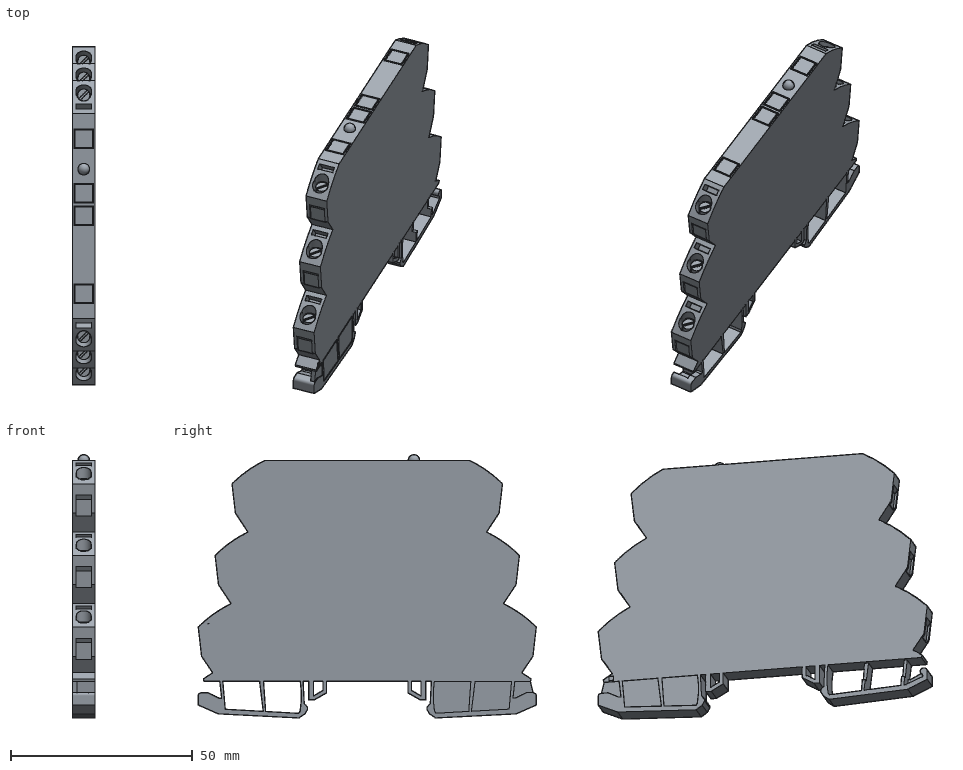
import cadquery as cq
import math

WIDTH = 6.2
LENGTH = 93.06
HEIGHT = 72.49
HALF_WIDTH = WIDTH / 2
HALF_LENGTH = LENGTH / 2

LAMP_RADIUS = 1.6
LAMP_Y = 12.85

HOUSING_HEIGHT = 60.8
FOOT_DEPTH = HEIGHT - HOUSING_HEIGHT - LAMP_RADIUS

TIER_COUNT = 3
TIER_PITCH = 19.7
TIER_STEP = 4.65
TOP_HALF_LENGTH = 28.2
TIER_REACH = HALF_LENGTH - TIER_STEP * (TIER_COUNT - 1) - TOP_HALF_LENGTH
SLOPE_DROP = 6.45
SLOPE_BULGE = 0.45
FACE_DROP = 14.5
FACE_SETBACK = 0.93
SLOPE_ANGLE = math.degrees(math.atan2(SLOPE_DROP, TIER_REACH))

EAR_ROOT = (42.55, 2.4)
EAR_TIP = (45.1, 0.7)
EAR_BASE = (44.9, 0)
EAR_POCKET_Y = 42.85
EAR_POCKET_Z = 1.05
EAR_POCKET_SIZE = 1.25
EAR_POCKET_DEPTH = 0.3

OPENING_WIDTH = 4.4
LABEL_SLOT_OFFSET = 2.17
LABEL_SLOT_LENGTH = 1.55
LABEL_SLOT_DEPTH = 3.2
ACCESS_TILT = 25
ACCESS_OFFSET = 6.05
ACCESS_DROP = 3.9
ACCESS_DEPTH = 4.5
SCREW_TILT = 8
SCREW_OFFSET = 5.0
SCREW_DROP = 5.3
SCREW_LENGTH = 8
SCREW_HEAD_DIAMETER = 3.4
SCREW_CLEARANCE = 0.3
SCREW_SLOT_WIDTH = 0.6
SCREW_SLOT_DEPTH = 0.4
SCREW_SLOT_ANGLE = -45
WIRE_WINDOW_TOP = 9.55
WIRE_WINDOW_BOTTOM = 15.3
WIRE_WINDOW_BEVEL = 1.15
WIRE_WINDOW_DEPTH = 0.6

BUTTON_CENTRES = (21.25, 6.2, 0.05, -21.45)
BUTTON_FRAME_LENGTH = 5.4
BUTTON_FRAME_WIDTH = 5.3
BUTTON_GROOVE = 0.3
BUTTON_GROOVE_DEPTH = 0.5

CLIP_INNER_Y = 11.15
CLIP_OUTER_Y = 16.1
CLIP_SHOULDER_Z = -3.15
CLIP_TOE_Y = 14.5
CLIP_BOTTOM_Z = -5.05
CLIP_INNER_WALL = 1.05
CLIP_OUTER_WALL = 1.35
CLIP_INNER_FLOOR_Z = -2.45
CLIP_OUTER_FLOOR_Z = -3.95

ARM_INNER_Y = 17.6
ARM_OUTER_Y = 18.45
SOLE_END = (41.0, -8.95)
HOOK_TOP_Z = -3.1
HOOK_ROUND = 0.9
MIDDLE_RIB_TOP = (28.5, 29.65)
MIDDLE_RIB_BOTTOM = (27.9, 28.6)
MIDDLE_RIB_FOOT_Z = -8.6
OUTER_RIB_TOP = (39.7, 40.6)
OUTER_RIB_BOTTOM = (39.0, 40.0)
OUTER_RIB_FOOT_Z = -8.0
RIB_WAIST = (40.1, -4.5)
RIB_NOTCH_RANGE = (27, 42)
RIB_NOTCH_WIDTH = 1.2
RIB_NOTCH_DEPTH = 5.1
HOOK_WEB = [(40.0, -8), (40.0, -4.6), (40.75, -4.6), (43.75, HOOK_TOP_Z), (45.6, HOOK_TOP_Z), (45.6, -6.2)]
HOOK_WEB_WIDTH = 1.8
PANEL = [(17.9, 0), (17.9, -9), (20.7, -9.4), (41, -8.3), (45.7, -3.3), EAR_BASE]
PANEL_RECESS = 0.2
PANEL_WIDTH = 1.2

CLEARANCE = 5


def prism(points, x_start, x_end):
    """Closed (y, z) outline extruded from x_start to x_end."""
    plane = cq.Workplane("YZ", origin=(x_start, 0, 0))
    return plane.polyline(points).close().extrude(x_end - x_start)


def tier_start(tier):
    """Distance from the middle and height at which a tier's slope begins."""
    return TOP_HALF_LENGTH + tier * TIER_STEP, HOUSING_HEIGHT - tier * TIER_PITCH


def tier_face(tier):
    """Top and bottom corner of a tier's steep end face."""
    start_y, start_z = tier_start(tier)
    top = (start_y + TIER_REACH, start_z - SLOPE_DROP)
    bottom = (start_y + TIER_REACH - FACE_SETBACK, start_z - FACE_DROP)
    return top, bottom


def slope_middle(tier):
    """Middle point of a tier's slightly bulging slope."""
    start_y, start_z = tier_start(tier)
    tilt = math.radians(SLOPE_ANGLE)
    return (
        start_y + TIER_REACH / 2 + SLOPE_BULGE * math.sin(tilt),
        start_z - SLOPE_DROP / 2 + SLOPE_BULGE * math.cos(tilt),
    )


def make_half_housing():
    outline = cq.Workplane("YZ", origin=(-HALF_WIDTH, 0, 0)).moveTo(0, HOUSING_HEIGHT)
    for tier in range(TIER_COUNT):
        top, bottom = tier_face(tier)
        outline = outline.lineTo(*tier_start(tier)).threePointArc(slope_middle(tier), top).lineTo(*bottom)
    outline = outline.lineTo(*EAR_ROOT).lineTo(*EAR_TIP).lineTo(*EAR_BASE).lineTo(0, 0).close()
    return outline.extrude(WIDTH)


def make_label_slot(tier):
    """Slot square to the slope, near its upper edge."""
    start_y, start_z = tier_start(tier)
    slot = cq.Workplane("XY").box(OPENING_WIDTH, LABEL_SLOT_LENGTH, 2 * LABEL_SLOT_DEPTH)
    slot = slot.translate((0, LABEL_SLOT_OFFSET, 0))
    slot = slot.rotate((0, 0, 0), (1, 0, 0), -SLOPE_ANGLE)
    return slot.translate((0, start_y, start_z))


def tilt_outward(shape, angle, tier, offset, drop):
    """Tip a shape outward about the origin and move it to its place on a tier."""
    start_y, start_z = tier_start(tier)
    return shape.rotate((0, 0, 0), (1, 0, 0), -angle).translate((0, start_y + offset, start_z - drop))


def make_screw_opening(tier):
    """Tilted access hole around a steeper slotted screw that stands inside it."""
    access = cq.Workplane("XY", origin=(0, 0, -ACCESS_DEPTH)).circle(OPENING_WIDTH / 2)
    access = access.extrude(ACCESS_DEPTH + CLEARANCE)
    bore = cq.Workplane("XY").circle(SCREW_HEAD_DIAMETER / 2 + SCREW_CLEARANCE).extrude(CLEARANCE)
    screw = cq.Workplane("XY").circle(SCREW_HEAD_DIAMETER / 2).extrude(-SCREW_LENGTH)
    drive_slot = cq.Workplane("XY").box(SCREW_SLOT_WIDTH, SCREW_HEAD_DIAMETER * 2, 2 * SCREW_SLOT_DEPTH)
    drive_slot = drive_slot.rotate((0, 0, 0), (0, 0, 1), SCREW_SLOT_ANGLE)
    access = tilt_outward(access, ACCESS_TILT, tier, ACCESS_OFFSET, ACCESS_DROP)
    screw = tilt_outward(screw.cut(drive_slot), SCREW_TILT, tier, SCREW_OFFSET, SCREW_DROP)
    bore = tilt_outward(bore, SCREW_TILT, tier, SCREW_OFFSET, SCREW_DROP)
    return access.union(bore).cut(screw)


def make_wire_window(tier):
    """Shallow wire entry pocket in the steep face, bevelled along its upper edge."""
    top, bottom = tier_face(tier)
    start_z = tier_start(tier)[1]

    def face_y(z):
        return top[0] - FACE_SETBACK * (top[1] - z) / (top[1] - bottom[1])

    upper_z = start_z - WIRE_WINDOW_TOP
    floor_z = upper_z - WIRE_WINDOW_BEVEL
    lower_z = start_z - WIRE_WINDOW_BOTTOM
    outline = [
        (face_y(upper_z), upper_z),
        (face_y(floor_z) - WIRE_WINDOW_DEPTH, floor_z),
        (face_y(lower_z) - WIRE_WINDOW_DEPTH, lower_z),
        (face_y(lower_z) + CLEARANCE, lower_z),
        (face_y(upper_z) + CLEARANCE, upper_z),
    ]
    return prism(outline, -OPENING_WIDTH / 2, OPENING_WIDTH / 2)


def make_button_groove(y):
    frame = cq.Workplane("XY").box(BUTTON_FRAME_WIDTH, BUTTON_FRAME_LENGTH, 2 * BUTTON_GROOVE_DEPTH)
    button = cq.Workplane("XY").box(
        BUTTON_FRAME_WIDTH - 2 * BUTTON_GROOVE,
        BUTTON_FRAME_LENGTH - 2 * BUTTON_GROOVE,
        2 * BUTTON_GROOVE_DEPTH,
    )
    return frame.cut(button).translate((0, y, HOUSING_HEIGHT))


def make_rail_clip():
    """Hollow hook that grips the edge of the mounting rail."""
    outer = [
        (CLIP_INNER_Y, 0),
        (CLIP_INNER_Y, CLIP_SHOULDER_Z),
        (CLIP_TOE_Y, CLIP_BOTTOM_Z),
        (CLIP_OUTER_Y, CLIP_BOTTOM_Z),
        (CLIP_OUTER_Y, 0),
    ]
    inner = [
        (CLIP_INNER_Y + CLIP_INNER_WALL, 0),
        (CLIP_INNER_Y + CLIP_INNER_WALL, CLIP_INNER_FLOOR_Z),
        (CLIP_OUTER_Y - CLIP_OUTER_WALL, CLIP_OUTER_FLOOR_Z),
        (CLIP_OUTER_Y - CLIP_OUTER_WALL, 0),
    ]
    return prism(outer, -HALF_WIDTH, HALF_WIDTH).cut(prism(inner, -HALF_WIDTH, HALF_WIDTH))


def make_foot_frame():
    """Inner arm with its barbed heel, sloping sole and upturned hook of a foot."""
    outline = cq.Workplane("YZ", origin=(-HALF_WIDTH, 0, 0)).polyline([
        (ARM_INNER_Y, 0),
        (17.3, -6.1),
        (16.4, -7.1),
        (16.4, -7.7),
        (17.1, -8.9),
        (18.8, -FOOT_DEPTH),
        SOLE_END,
        (HALF_LENGTH, -6.5),
        (HALF_LENGTH, HOOK_TOP_Z - HOOK_ROUND),
    ])
    round_sag = HOOK_ROUND * (1 - math.sqrt(0.5))
    round_middle = (HALF_LENGTH - round_sag, HOOK_TOP_Z - round_sag)
    outline = outline.threePointArc(round_middle, (HALF_LENGTH - HOOK_ROUND, HOOK_TOP_Z))
    outline = outline.lineTo(45.3, HOOK_TOP_Z)
    outline = outline.threePointArc((44.55, -3.85), (44.9, -4.7))
    outline = outline.threePointArc((45.2, -5.2), (45.1, -5.65))
    outline = outline.lineTo(40.4, -7.55).lineTo(18.85, -8.75).lineTo(18.5, -8.2)
    outline = outline.threePointArc((18.15, -4.3), (ARM_OUTER_Y, 0)).close()
    return outline.extrude(WIDTH)


def make_foot_ribs():
    """Two slanted ribs that tie the sole of a foot to the housing."""
    middle = [
        (MIDDLE_RIB_TOP[0], 0),
        (MIDDLE_RIB_BOTTOM[0], MIDDLE_RIB_FOOT_Z),
        (MIDDLE_RIB_BOTTOM[1], MIDDLE_RIB_FOOT_Z),
        (MIDDLE_RIB_TOP[1], 0),
    ]
    outer = [
        (OUTER_RIB_TOP[0], 0),
        (OUTER_RIB_BOTTOM[0], OUTER_RIB_FOOT_Z),
        (OUTER_RIB_BOTTOM[1], OUTER_RIB_FOOT_Z),
        RIB_WAIST,
        (OUTER_RIB_TOP[1], 0),
    ]
    return prism(middle, -HALF_WIDTH, HALF_WIDTH).union(prism(outer, -HALF_WIDTH, HALF_WIDTH))


def make_near_foot():
    """Foot at -Y: open frame, ribs notched at the top, web behind the hook."""
    start_y, end_y = RIB_NOTCH_RANGE
    notch = [(start_y, 0), (start_y, -RIB_NOTCH_DEPTH), (end_y, -RIB_NOTCH_DEPTH), (end_y, 0)]
    ribs = make_foot_ribs().cut(prism(notch, -HALF_WIDTH, -HALF_WIDTH + RIB_NOTCH_WIDTH))
    web = prism(HOOK_WEB, HALF_WIDTH - HOOK_WEB_WIDTH, HALF_WIDTH)
    return make_foot_frame().union(ribs).union(web)


def make_far_foot():
    """Foot at +Y: full ribs, solid hook and a thin recessed panel closing the gaps."""
    panel_start = -HALF_WIDTH + PANEL_RECESS
    foot = make_foot_frame().union(make_foot_ribs()).union(prism(HOOK_WEB, -HALF_WIDTH, HALF_WIDTH))
    return foot.union(prism(PANEL, panel_start, panel_start + PANEL_WIDTH))


def make_ear_pocket():
    pocket = cq.Workplane("XY").box(2 * EAR_POCKET_DEPTH, EAR_POCKET_SIZE, EAR_POCKET_SIZE)
    return pocket.translate((-HALF_WIDTH, EAR_POCKET_Y, EAR_POCKET_Z))


half_housing = make_half_housing()
for tier in range(TIER_COUNT):
    half_housing = half_housing.cut(make_label_slot(tier))
    half_housing = half_housing.cut(make_screw_opening(tier))
    half_housing = half_housing.cut(make_wire_window(tier))
half_housing = half_housing.union(make_rail_clip())

result = half_housing.union(half_housing.rotate((0, 0, 0), (0, 0, 1), 180))
result = result.union(make_near_foot().mirror("XZ")).union(make_far_foot())
result = result.cut(make_ear_pocket())
for button_y in BUTTON_CENTRES:
    result = result.cut(make_button_groove(button_y))
lamp = cq.Workplane("XY").sphere(LAMP_RADIUS).translate((0, LAMP_Y, HOUSING_HEIGHT))
result = result.union(lamp)